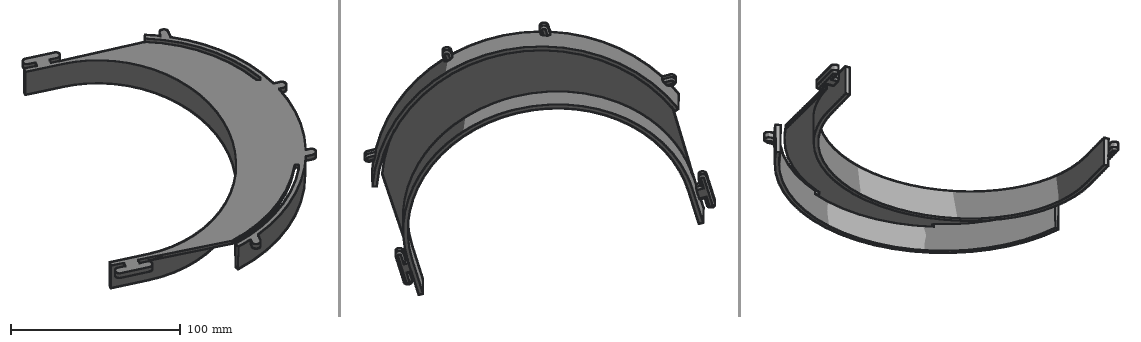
import cadquery as cq
import math

HALF_WIDTH = 95.5
DEPTH = 144.2
HEIGHT = 19.0
PLATE_THICKNESS = 2.5
DRAFT = 1.0

RIM_RADIUS = 100.3
RIM_CENTER_Y = 42.5
RIM_THICKNESS = 3.2
RIM_END_ANGLE = 20.0

SLOT_WIDTH = 2.9
SLOT_END_ANGLE = 65.9
SLOT_OUTER_RADIUS = RIM_RADIUS - RIM_THICKNESS
SLOT_INNER_RADIUS = SLOT_OUTER_RADIUS - SLOT_WIDTH
RIM_MIDDLE_RADIUS = RIM_RADIUS - RIM_THICKNESS / 2

OPENING_HALF_WIDTH = 84.6
OPENING_TOP_Y = 99.9
LEG_LENGTH = 23.3
WALL_THICKNESS = 3.0

CLIP_HEIGHT = 5.3
CLIP_CHAMFER = 1.5
TAB_WIDTH = 5.3
TOP_TAB_X = 29.8
SIDE_TAB_Y = 88.0
TAB_LENGTH = 15.3
HOOK_BAR_WIDTH = 5.0
HOOK_BAR_LENGTH = 23.0
HOOK_CENTER_Y = 12.5
HOOK_NECK_WIDTH = 8.8

OVERLAP = 9.5


def rim_point(radius, angle):
    """Point on a circle around the rim centre, angle in degrees above +X."""
    turn = math.radians(angle)
    return (radius * math.cos(turn), RIM_CENTER_Y + radius * math.sin(turn))


def mirrored(point):
    return (-point[0], point[1])


def arch(offset):
    """Opening outline grown by an offset, with its legs running below y = 0."""
    half_width = OPENING_HALF_WIDTH + offset
    rise = OPENING_TOP_Y - LEG_LENGTH + offset
    return (
        cq.Workplane("XY", origin=(0, 0, HEIGHT))
        .moveTo(half_width, -OVERLAP)
        .lineTo(half_width, LEG_LENGTH)
        .ellipseArc(half_width, rise, 0, 180, startAtCurrent=True)
        .lineTo(-half_width, -OVERLAP)
        .close()
    )


def opening():
    return arch(0).extrude(-HEIGHT)


def slot():
    """Slot on the +X side, rounded inside the plate; the rim later covers its outer edge."""
    middle_radius = (SLOT_OUTER_RADIUS + SLOT_INNER_RADIUS) / 2
    middle_angle = (RIM_END_ANGLE + SLOT_END_ANGLE) / 2
    tip_angle = SLOT_END_ANGLE + math.degrees(SLOT_WIDTH / 2 / middle_radius)
    return (
        cq.Workplane("XY", origin=(0, 0, HEIGHT - PLATE_THICKNESS))
        .moveTo(*rim_point(SLOT_INNER_RADIUS, RIM_END_ANGLE))
        .threePointArc(
            rim_point(SLOT_INNER_RADIUS, middle_angle),
            rim_point(SLOT_INNER_RADIUS, SLOT_END_ANGLE),
        )
        .threePointArc(
            rim_point(middle_radius, tip_angle),
            rim_point(SLOT_OUTER_RADIUS, SLOT_END_ANGLE),
        )
        .lineTo(*rim_point(RIM_MIDDLE_RADIUS, SLOT_END_ANGLE))
        .threePointArc(
            rim_point(RIM_MIDDLE_RADIUS, middle_angle),
            rim_point(RIM_MIDDLE_RADIUS, RIM_END_ANGLE),
        )
        .close()
        .extrude(PLATE_THICKNESS)
    )


def plate():
    leg_outside = OPENING_HALF_WIDTH + WALL_THICKNESS
    leg_middle = OPENING_HALF_WIDTH + WALL_THICKNESS / 2
    strip_end = rim_point(RIM_MIDDLE_RADIUS, RIM_END_ANGLE)
    shoulder = rim_point(SLOT_INNER_RADIUS, RIM_END_ANGLE)
    body = (
        cq.Workplane("XY", origin=(0, 0, HEIGHT - PLATE_THICKNESS))
        .moveTo(*strip_end)
        .threePointArc(rim_point(RIM_MIDDLE_RADIUS, 90), mirrored(strip_end))
        .lineTo(*mirrored(shoulder))
        .lineTo(-leg_outside, LEG_LENGTH)
        .lineTo(-leg_middle, LEG_LENGTH)
        .lineTo(-leg_middle, 0)
        .lineTo(leg_middle, 0)
        .lineTo(leg_middle, LEG_LENGTH)
        .lineTo(leg_outside, LEG_LENGTH)
        .lineTo(*shoulder)
        .close()
        .extrude(PLATE_THICKNESS)
    )
    return body.cut(slot()).cut(slot().mirror("YZ"))


def rim():
    """Circular wall with both faces drafted."""
    inset = HEIGHT * math.tan(math.radians(DRAFT))
    return (
        cq.Workplane("XZ")
        .polyline([
            (SLOT_OUTER_RADIUS, HEIGHT),
            (RIM_RADIUS, HEIGHT),
            (RIM_RADIUS - inset, 0),
            (SLOT_OUTER_RADIUS + inset, 0),
        ])
        .close()
        .revolve(180 - 2 * RIM_END_ANGLE, (0, 0), (0, 1))
        .rotate((0, 0, 0), (0, 0, 1), RIM_END_ANGLE)
        .translate((0, RIM_CENTER_Y, 0))
    )


def inner_wall_core():
    """Solid core of the inner wall, drafted on its outside and flat at y = 0."""
    below_legs = (
        cq.Workplane("XY")
        .box(2 * HALF_WIDTH, 2 * OVERLAP, HEIGHT, centered=(True, True, False))
        .translate((0, -OVERLAP, 0))
    )
    return arch(WALL_THICKNESS).extrude(-HEIGHT, taper=DRAFT).cut(below_legs)


def clip_plane(x, y):
    return cq.Workplane("XY", origin=(x, y, HEIGHT - CLIP_HEIGHT))


def tab(tip_x, tip_y, direction):
    """Round-ended tab with its tip at the given point, pointing along direction in degrees."""
    turn = math.radians(direction)
    center_x = tip_x - TAB_LENGTH / 2 * math.cos(turn)
    center_y = tip_y - TAB_LENGTH / 2 * math.sin(turn)
    blank = clip_plane(center_x, center_y).slot2D(TAB_LENGTH, TAB_WIDTH, direction).extrude(CLIP_HEIGHT)
    inside_rim = (
        cq.Workplane("XY", origin=(0, RIM_CENTER_Y, 0))
        .circle(RIM_MIDDLE_RADIUS)
        .extrude(HEIGHT)
    )
    return blank.faces("<Z").chamfer(CLIP_CHAMFER).cut(inside_rim)


def hook():
    """T-shaped hook on the +X leg."""
    bar = (
        clip_plane(HALF_WIDTH - HOOK_BAR_WIDTH / 2, HOOK_CENTER_Y)
        .slot2D(HOOK_BAR_LENGTH, HOOK_BAR_WIDTH, 90)
        .extrude(CLIP_HEIGHT)
    )
    neck_start = OPENING_HALF_WIDTH - OVERLAP
    neck_length = HALF_WIDTH - HOOK_BAR_WIDTH / 2 - neck_start
    neck = (
        clip_plane(neck_start + neck_length / 2, HOOK_CENTER_Y)
        .rect(neck_length, HOOK_NECK_WIDTH)
        .extrude(CLIP_HEIGHT)
    )
    return bar.union(neck).faces("<Z").chamfer(CLIP_CHAMFER)


result = plate().union(rim()).union(inner_wall_core())
for feature in (tab(TOP_TAB_X, DEPTH, 90), tab(HALF_WIDTH, SIDE_TAB_Y, 0), hook()):
    result = result.union(feature).union(feature.mirror("YZ"))

result = result.cut(opening()).clean()